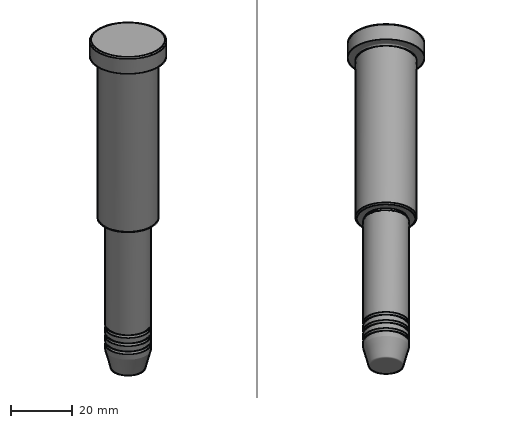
import cadquery as cq
import math

TOTAL_LENGTH = 121.0
HEAD_RADIUS = 12.5
HEAD_HEIGHT = 6.0
SLEEVE_RADIUS = 10.0
PIN_RADIUS = 7.5
PIN_LENGTH = 55.0

TAPER_HEIGHT = 7.0
TAPER_ANGLE = 15.0

EDGE_CHAMFER = 0.5
TIP_FILLET = 0.5

GROOVE_WIDTH = 1.0
GROOVE_DEPTH = 0.5
OIL_GROOVE_COUNT = 3
OIL_GROOVE_PITCH = 3.0
LOWEST_OIL_GROOVE = TAPER_HEIGHT + 2.0

HEAD_BOTTOM = TOTAL_LENGTH - HEAD_HEIGHT
TIP_RADIUS = PIN_RADIUS - TAPER_HEIGHT * math.tan(math.radians(TAPER_ANGLE))


def cylinder(radius, bottom, top):
    """Cylinder on the Z axis between two levels."""
    return cq.Workplane("XY").workplane(offset=bottom).circle(radius).extrude(top - bottom)


def make_head():
    """Collar with a chamfered top rim."""
    return cylinder(HEAD_RADIUS, HEAD_BOTTOM, TOTAL_LENGTH).faces(">Z").chamfer(EDGE_CHAMFER)


def make_sleeve():
    """Thick shank below the head with a chamfered lower rim."""
    return cylinder(SLEEVE_RADIUS, PIN_LENGTH, HEAD_BOTTOM).faces("<Z").chamfer(EDGE_CHAMFER)


def make_pin():
    """Thin shank ending in a tapered tip with a rounded end."""
    profile = (
        cq.Workplane("XZ")
        .lineTo(TIP_RADIUS, 0)
        .lineTo(PIN_RADIUS, TAPER_HEIGHT)
        .lineTo(PIN_RADIUS, PIN_LENGTH)
        .lineTo(0, PIN_LENGTH)
        .close()
    )
    pin = profile.revolve(360, (0, 0, 0), (0, 1, 0))
    return pin.faces("<Z").fillet(TIP_FILLET)


def round_groove(shank_radius, bottom):
    """Cutter for a round-bottomed groove running around a shank."""
    profile = (
        cq.Workplane("XZ")
        .moveTo(shank_radius, bottom)
        .threePointArc(
            (shank_radius - GROOVE_DEPTH, bottom + GROOVE_WIDTH / 2),
            (shank_radius, bottom + GROOVE_WIDTH),
        )
        .lineTo(shank_radius + GROOVE_DEPTH, bottom + GROOVE_WIDTH)
        .lineTo(shank_radius + GROOVE_DEPTH, bottom)
        .close()
    )
    return profile.revolve(360, (0, 0, 0), (0, 1, 0))


def square_groove(shank_radius, bottom):
    """Cutter for a flat-bottomed groove running around a shank."""
    top = bottom + GROOVE_WIDTH
    return cylinder(shank_radius, bottom, top).cut(cylinder(shank_radius - GROOVE_DEPTH, bottom, top))


result = make_head().union(make_sleeve()).union(make_pin())

result = result.cut(round_groove(SLEEVE_RADIUS, HEAD_BOTTOM - GROOVE_WIDTH))
result = result.cut(square_groove(PIN_RADIUS, PIN_LENGTH - GROOVE_WIDTH))

for index in range(OIL_GROOVE_COUNT):
    level = LOWEST_OIL_GROOVE + index * OIL_GROOVE_PITCH
    result = result.cut(round_groove(PIN_RADIUS, level))